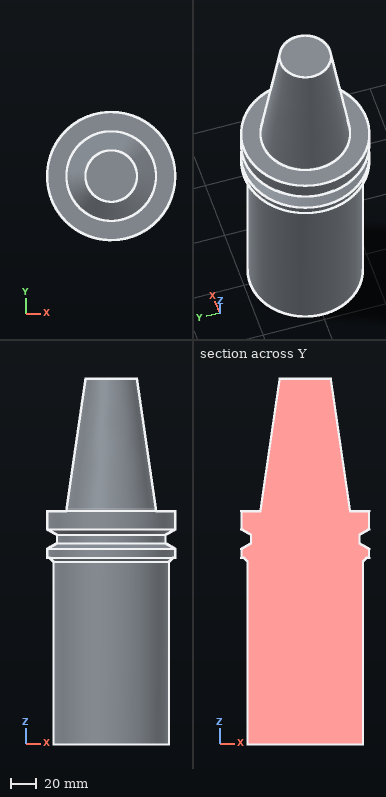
import cadquery as cq

total_height = 284.8
body_diameter = 90.0
flange_diameter = 100.0

taper_length = 101.7
taper_ratio = 7 / 24
taper_large_diameter = 69.8
taper_small_diameter = taper_large_diameter - taper_length * taper_ratio
neck_height = 1.5

upper_rim_height = 14.2
lower_rim_height = 7.0
groove_diameter = 85.0
groove_floor_height = 6.5
groove_side_height = 4.3

step_height = 3.0
step_diameter = body_diameter + 2 * step_height

taper_base_z = total_height - taper_length
flange_top_z = taper_base_z - neck_height
upper_rim_bottom_z = flange_top_z - upper_rim_height
groove_floor_top_z = upper_rim_bottom_z - groove_side_height
groove_floor_bottom_z = groove_floor_top_z - groove_floor_height
lower_rim_top_z = groove_floor_bottom_z - groove_side_height
lower_rim_bottom_z = lower_rim_top_z - lower_rim_height
body_top_z = lower_rim_bottom_z - step_height

profile = [
    (0, 0),
    (body_diameter, 0),
    (body_diameter, body_top_z),
    (step_diameter, lower_rim_bottom_z),
    (flange_diameter, lower_rim_bottom_z),
    (flange_diameter, lower_rim_top_z),
    (groove_diameter, groove_floor_bottom_z),
    (groove_diameter, groove_floor_top_z),
    (flange_diameter, upper_rim_bottom_z),
    (flange_diameter, flange_top_z),
    (taper_large_diameter, flange_top_z),
    (taper_large_diameter, taper_base_z),
    (taper_small_diameter, total_height),
    (0, total_height),
]

half_section = cq.Workplane("XZ").polyline([(diameter / 2, z) for diameter, z in profile]).close()
result = half_section.revolve(360, (0, 0, 0), (0, 1, 0))